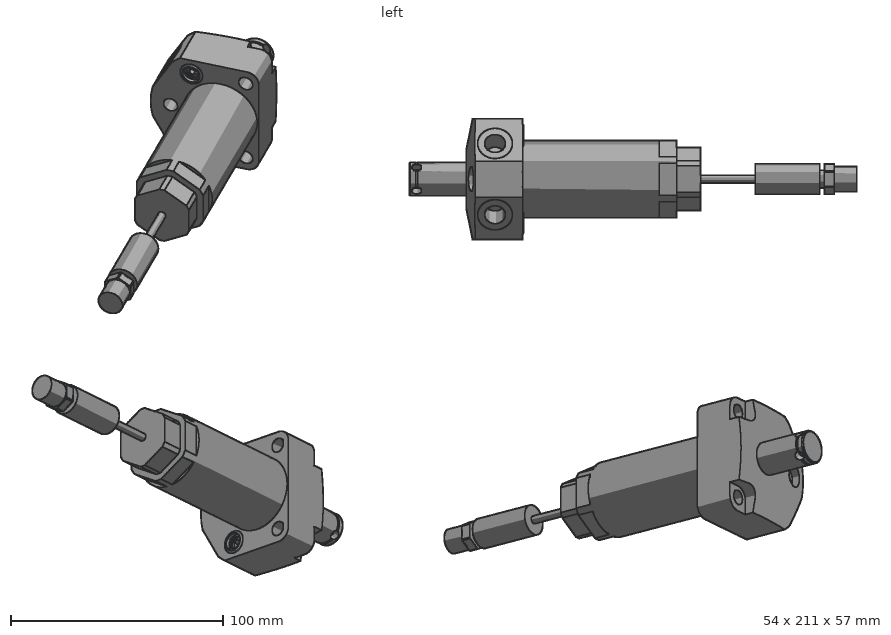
import cadquery as cq
import math


flange_radius = 35.0
flange_right = 19.0
flange_half_height = 28.5
flange_thickness = 26.6
port_face_distance = 33.65
port_face_angles = (150, 210)
corner_radius = 6.0
back_flat_radius = 14.0
back_cone_angle = 11.6

port_diameter = 9.7
port_depth = 12.0
port_spot_diameter = 16.4
port_spot_depth = 0.1
port_y = 13.0

mount_hole_diameter = 7.0
mount_seat_radius = 5.75
mount_seat_y = 19.1
corner_mount_x = 12.5
corner_mount_z = 21.6
side_mount_x = -25.0

valve_x = -14.6
valve_z = 20.6
valve_base_radius = 5.6
valve_rim_radius = 4.4
valve_rim_height = 0.6
valve_bore_radius = 4.2
valve_bore_depth = 1.5
valve_step_radius = 3.2
valve_step_depth = 1.0
valve_hex_flats = 4.0
valve_hex_depth = 3.0

shaft_radius = 7.95
shaft_end_y = 53.5
shaft_chamfer = 0.6
shaft_groove_y = 49.9
shaft_groove_width = 0.8
shaft_groove_depth = 0.2
spanner_hole_diameter = 4.5
spanner_hole_depth = 4.0
spanner_hole_count = 4

barrel_radius = 18.25
barrel_end_y = -64.3
collar_end_y = -72.5
collar_flats = 33.2
gland_radius = 14.9
gland_flats = 27.0
gland_end_y = -83.9
rod_radius = 1.9
rod_end_y = -109.5
sleeve_radius = 7.25
sleeve_end_y = -140.0
neck_radius = 4.2
neck_end_y = -142.2
nut_radius = 7.2
nut_flats = 12.8
nut_end_y = -146.9
tip_radius = 6.0
tip_end_y = -157.5


def front_plane(y, x=0, z=0):
    """Plane at the given Y whose extrusions run toward -Y."""
    return cq.Workplane("XZ", origin=(x, y, z))


def rod_section(radius, start_y, end_y):
    return front_plane(start_y).circle(radius).extrude(start_y - end_y)


def hexagon(flats, start_y, end_y, x=0, z=0):
    """Hexagonal prism with two of its corners on the vertical centre line."""
    corner_diameter = flats / math.cos(math.radians(30))
    return (
        front_plane(start_y, x, z)
        .polygon(6, corner_diameter)
        .extrude(start_y - end_y)
        .rotate((x, 0, z), (x, 1, z), 30)
    )


def rounded_hexagon(flats, radius, start_y, end_y):
    """Hexagon whose corners are turned down to a radius."""
    return hexagon(flats, start_y, end_y).intersect(rod_section(radius, start_y, end_y))


def port_frame(angle):
    """Plane on a slanted port face, with its normal pointing outward."""
    direction = (math.cos(math.radians(angle)), 0, math.sin(math.radians(angle)))
    origin = (port_face_distance * direction[0], port_y, port_face_distance * direction[2])
    return cq.Workplane(cq.Plane(origin=origin, xDir=(0, 1, 0), normal=direction))


def flange_blank():
    """Disc with a coned back, cut to a flat right, top and bottom and two slanted port faces."""
    cone_drop = (flange_radius - back_flat_radius) * math.tan(math.radians(back_cone_angle))
    disc = (
        cq.Workplane("XY")
        .polyline([
            (0, 0),
            (flange_radius, 0),
            (flange_radius, flange_thickness - cone_drop),
            (back_flat_radius, flange_thickness),
            (0, flange_thickness),
        ])
        .close()
        .revolve(360, (0, 0, 0), (0, 1, 0))
    )
    outline = (
        cq.Workplane("XY")
        .box(flange_radius + flange_right, flange_thickness, 2 * flange_half_height)
        .edges("|Y and >X")
        .fillet(corner_radius)
        .translate(((flange_right - flange_radius) / 2, flange_thickness / 2, 0))
    )
    blank = disc.intersect(outline)
    cutter_size = 4 * flange_radius
    for angle in port_face_angles:
        blank = blank.cut(port_frame(angle).rect(cutter_size, cutter_size).extrude(flange_radius))
    return blank


def cut_ports(body):
    for angle in port_face_angles:
        face = port_frame(angle)
        body = body.cut(face.circle(port_spot_diameter / 2).extrude(-port_spot_depth))
        body = body.cut(face.circle(port_diameter / 2).extrude(-port_depth))
    return body


def corner_pocket(side):
    """Pocket around a corner hole, open to the back, the right and the top or bottom."""
    size = 2 * (corner_radius + mount_seat_radius)
    depth = flange_thickness - mount_seat_y
    pocket = (
        cq.Workplane("XY")
        .box(size, depth, size, centered=(False, False, False))
        .edges("|Y and <X and <Z")
        .fillet(mount_seat_radius)
        .translate((corner_mount_x - mount_seat_radius, mount_seat_y, corner_mount_z - mount_seat_radius))
    )
    return pocket if side > 0 else pocket.mirror("XY")


def cut_mounts(body):
    hole_centres = [(side_mount_x, 0), (corner_mount_x, corner_mount_z), (corner_mount_x, -corner_mount_z)]
    holes = (
        front_plane(flange_thickness)
        .pushPoints(hole_centres)
        .circle(mount_hole_diameter / 2)
        .extrude(flange_thickness)
    )
    side_seat = (
        front_plane(flange_thickness, side_mount_x)
        .circle(mount_seat_radius)
        .extrude(flange_thickness - mount_seat_y)
    )
    body = body.cut(holes).cut(side_seat)
    for side in (1, -1):
        body = body.cut(corner_pocket(side))
    return body


def add_valve(body, z):
    """Low tapered rim around a stepped bore with a hexagon socket at its bottom."""
    rim = (
        front_plane(0, valve_x, z)
        .circle(valve_base_radius)
        .workplane(offset=valve_rim_height)
        .circle(valve_rim_radius)
        .loft()
    )
    step_y = valve_bore_depth + valve_step_depth
    bore = front_plane(valve_bore_depth, valve_x, z).circle(valve_bore_radius)
    step = front_plane(step_y, valve_x, z).circle(valve_step_radius)
    body = body.union(rim)
    body = body.cut(bore.extrude(valve_bore_depth + valve_rim_height))
    body = body.cut(step.extrude(valve_step_depth))
    return body.cut(hexagon(valve_hex_flats, step_y + valve_hex_depth, step_y, valve_x, z))


def rear_shaft():
    """Shaft with a chamfered end, a shallow ring groove and radial spanner holes."""
    shaft = rod_section(shaft_radius, shaft_end_y, 0).faces(">Y").chamfer(shaft_chamfer)
    groove = (
        front_plane(shaft_groove_y + shaft_groove_width / 2)
        .circle(shaft_radius)
        .circle(shaft_radius - shaft_groove_depth)
        .extrude(shaft_groove_width)
    )
    shaft = shaft.cut(groove)
    step_angle = 360 / spanner_hole_count
    for index in range(spanner_hole_count):
        hole = (
            cq.Workplane("XY", origin=(0, shaft_groove_y, shaft_radius))
            .circle(spanner_hole_diameter / 2)
            .extrude(-spanner_hole_depth)
            .rotate((0, 0, 0), (0, 1, 0), (index + 0.5) * step_angle)
        )
        shaft = shaft.cut(hole)
    return shaft


def front_parts():
    """Barrel, collar, gland, rod, sleeve, neck, nut and tip in order toward -Y."""
    return [
        rod_section(barrel_radius, 0, barrel_end_y),
        rounded_hexagon(collar_flats, barrel_radius, barrel_end_y, collar_end_y),
        rounded_hexagon(gland_flats, gland_radius, collar_end_y, gland_end_y),
        rod_section(rod_radius, gland_end_y, rod_end_y),
        rod_section(sleeve_radius, rod_end_y, sleeve_end_y),
        rod_section(neck_radius, sleeve_end_y, neck_end_y),
        rounded_hexagon(nut_flats, nut_radius, neck_end_y, nut_end_y),
        rod_section(tip_radius, nut_end_y, tip_end_y),
    ]


flange = cut_mounts(cut_ports(flange_blank()))
for valve_side in (1, -1):
    flange = add_valve(flange, valve_side * valve_z)

result = flange.union(rear_shaft())
for section in front_parts():
    result = result.union(section)